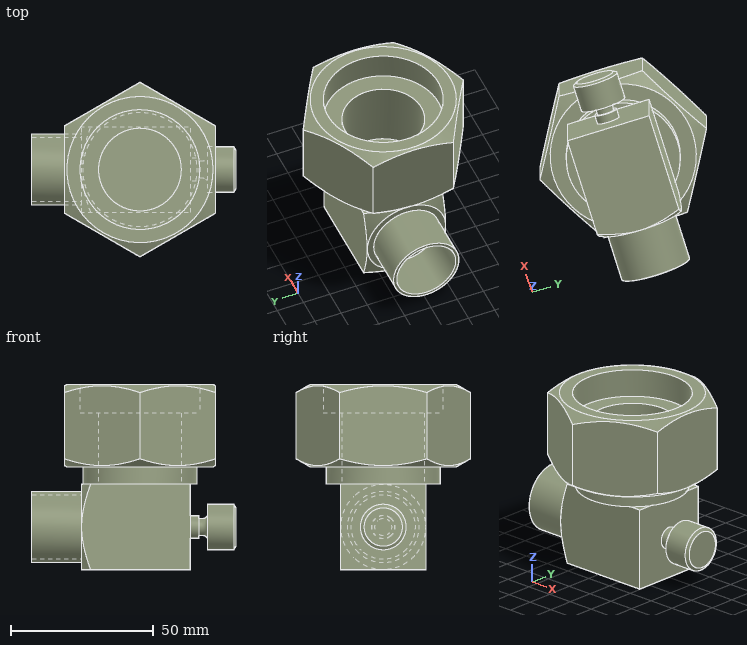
import cadquery as cq
import math


body_width = 30.0
body_left = -20.5
body_right = 17.65
body_face_diameter = 29.8
body_cone_length = 3.2

collar_diameter = 40.0
collar_height = 6.0
nut_across_flats = 53.0
nut_height = 29.0
nut_face_diameter = 51.2
nut_bore_diameter = 42.0
nut_bore_depth = 10.0
socket_diameter = 29.0
nut_chamfer_slope = math.tan(math.radians(30))

stub_length = 17.5
stub_diameter = 25.0
stub_bore_diameter = 22.5

shaft_diameter = 8.0
shaft_length = 3.0
neck_diameter = 6.0
neck_length = 1.25
flare_end_diameter = 8.2
flare_length = 1.75
knob_diameter = 16.0
knob_length = 10.0
knob_chamfer_length = 0.75
knob_chamfer_depth = 1.3

body_top = body_width / 2
collar_top = body_top + collar_height
nut_top = collar_top + nut_height
nut_corner_radius = nut_across_flats / math.sqrt(3)
body_corner_radius = body_width / math.sqrt(2)


def make_vertical_cylinder(diameter, bottom, top):
    return cq.Workplane("XY").workplane(offset=bottom).circle(diameter / 2).extrude(top - bottom)


def make_horizontal_cylinder(diameter, left, right):
    return cq.Workplane("YZ").workplane(offset=left).circle(diameter / 2).extrude(right - left)


def make_body():
    """Square bar along X, its left corners turned down to a cone."""
    length = body_right - body_left
    bar = cq.Workplane("YZ").workplane(offset=body_left).rect(body_width, body_width).extrude(length)
    face_radius = body_face_diameter / 2
    cone_end = body_left + body_cone_length
    turned_blank = (
        cq.Workplane("XY")
        .moveTo(body_left, 0)
        .lineTo(body_left, face_radius)
        .lineTo(cone_end, body_corner_radius)
        .lineTo(body_right, body_corner_radius)
        .lineTo(body_right, 0)
        .close()
        .revolve(360, (0, 0, 0), (1, 0, 0))
    )
    return bar.intersect(turned_blank)


def make_nut():
    """Hexagonal prism with corners on the Y axis, coned at both ends."""
    prism = (
        cq.Workplane("XY")
        .workplane(offset=collar_top)
        .transformed(rotate=(0, 0, 90))
        .polygon(6, 2 * nut_corner_radius)
        .extrude(nut_height)
    )
    face_radius = nut_face_diameter / 2
    cone_height = (nut_corner_radius - face_radius) * nut_chamfer_slope
    turned_blank = (
        cq.Workplane("XZ")
        .moveTo(0, collar_top)
        .lineTo(face_radius, collar_top)
        .lineTo(nut_corner_radius, collar_top + cone_height)
        .lineTo(nut_corner_radius, nut_top - cone_height)
        .lineTo(face_radius, nut_top)
        .lineTo(0, nut_top)
        .close()
        .revolve(360, (0, 0, 0), (0, 1, 0))
    )
    return prism.intersect(turned_blank)


def make_knob():
    """Turned shaft, neck, concave flare and chamfered knob."""
    shaft_end = body_right + shaft_length
    neck_end = shaft_end + neck_length
    knob_start = neck_end + flare_length
    knob_end = knob_start + knob_length
    knob_radius = knob_diameter / 2
    return (
        cq.Workplane("XY")
        .moveTo(body_right, 0)
        .lineTo(body_right, shaft_diameter / 2)
        .lineTo(shaft_end, shaft_diameter / 2)
        .lineTo(shaft_end, neck_diameter / 2)
        .lineTo(neck_end, neck_diameter / 2)
        .tangentArcPoint((knob_start, flare_end_diameter / 2), relative=False)
        .lineTo(knob_start, knob_radius)
        .lineTo(knob_end - knob_chamfer_length, knob_radius)
        .lineTo(knob_end, knob_radius - knob_chamfer_depth)
        .lineTo(knob_end, 0)
        .close()
        .revolve(360, (0, 0, 0), (1, 0, 0))
    )


stub_end = body_left - stub_length
stub = make_horizontal_cylinder(stub_diameter, stub_end, body_left)
stub_bore = make_horizontal_cylinder(stub_bore_diameter, stub_end, body_left)

collar = make_vertical_cylinder(collar_diameter, body_top, collar_top)
nut_bore = make_vertical_cylinder(nut_bore_diameter, nut_top - nut_bore_depth, nut_top)
socket = make_vertical_cylinder(socket_diameter, body_top, nut_top)

result = (
    make_body()
    .union(collar)
    .union(make_nut())
    .union(stub)
    .union(make_knob())
    .cut(stub_bore)
    .cut(nut_bore)
    .cut(socket)
)